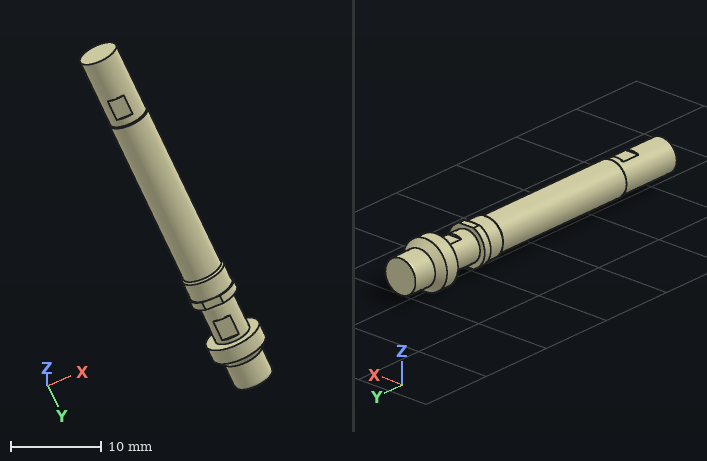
import cadquery as cq

length = 43.5
tip_chamfer_end = 0.3
cone_start = 3.18
flange_start = 4.15
flange_end = 5.95
relief_start = 10.4
relief_end = 10.55
collar_start = 10.95
collar_end = 11.95
sleeve_end = 14.22
body_start = 14.5
body_end = 35.0
tail_start = 35.15

head_tip_dia = 4.5
head_dia = 4.65
flange_dia = 6.5
neck_dia = 4.15
neck_relief_dia = 4.1
collar_dia = 5.5
sleeve_start_dia = 5.15
sleeve_end_dia = 5.1
body_dia = head_dia
tail_dia = 4.45

neck_flat_start = 6.5
neck_flat_end = 9.0
neck_across_flats = 3.6
tail_flat_start = 36.05
tail_flat_end = 38.55
tail_across_flats = 4.0
collar_across_flats = 5.05


def turned_shaft():
    """Stepped shaft turned about the Y axis, head end at +Y and tail face at Y = 0."""
    stations = [
        (0, head_tip_dia),
        (tip_chamfer_end, head_dia),
        (cone_start, head_dia),
        (flange_start, flange_dia),
        (flange_end, flange_dia),
        (flange_end, neck_dia),
        (relief_start, neck_dia),
        (relief_end, neck_relief_dia),
        (collar_start, neck_relief_dia),
        (collar_start, collar_dia),
        (collar_end, collar_dia),
        (collar_end, sleeve_start_dia),
        (sleeve_end, sleeve_end_dia),
        (body_start, body_dia),
        (body_end, body_dia),
        (tail_start, tail_dia),
        (length, tail_dia),
    ]
    outline = [(length - station, dia / 2) for station, dia in stations]
    half_section = cq.Workplane("YZ").polyline([(length, 0)] + outline + [(0, 0)]).close()
    return half_section.revolve(360, (0, 0, 0), (1, 0, 0))


def flat_pair(start, end, across_flats):
    """Material to remove outside two parallel flats between two stations."""
    cutter = cq.Workplane("XY").box(flange_dia, end - start, 2 * flange_dia)
    kept = cq.Workplane("XY").box(flange_dia, end - start, across_flats)
    return cutter.cut(kept).translate((0, length - (start + end) / 2, 0))


result = turned_shaft()
result = result.cut(flat_pair(neck_flat_start, neck_flat_end, neck_across_flats))
result = result.cut(flat_pair(collar_start, collar_end, collar_across_flats))
result = result.cut(flat_pair(tail_flat_start, tail_flat_end, tail_across_flats))